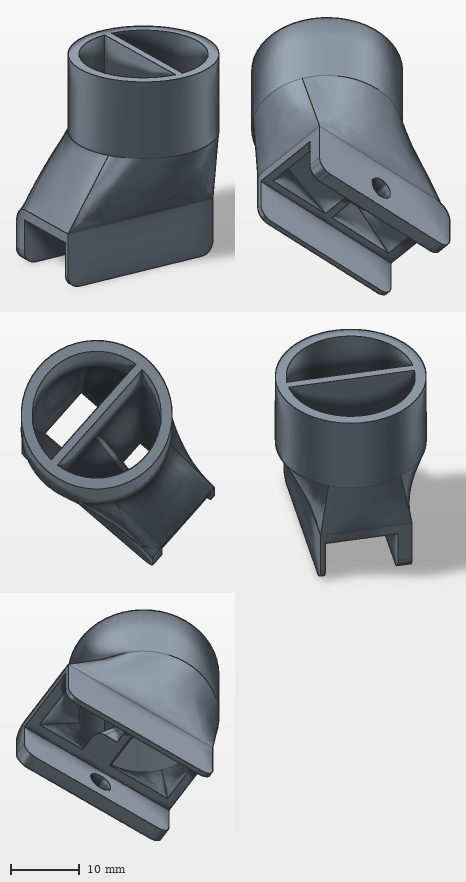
import cadquery as cq
import math

total_height = 31.0
collar_bottom = 18.97
base_top = 8.62
slot_ceiling = 7.0

outer_radius = 11.0
inner_radius = 9.4
septum_thickness = 1.2
septum_half = septum_thickness / 2

base_left = -7.4
base_right = 6.23
base_front = -17.3
base_back = 8.0
base_corner_radius = 2.0

slot_left = -5.3
slot_right = 5.52

pin_diameter = 3.5
pin_y = -3.97
pin_z = 3.78

port_left = -3.78
port_right = 4.28
rear_port_back = 6.73
front_port_back = -4.65
front_port_front = -15.7
rear_port_front = front_port_back + septum_thickness

shelf_right = 0.05
shelf_front = -8.12
shelf_corner_radius = 1.1

neck_front_left = 6.23
neck_front_right = 5.33
neck_back = 5.4
neck_blend_radius = 2.17
corner_search_size = 0.62


def closed_wire(edges):
    return cq.Wire.assembleEdges(edges)


def arc(radius, start, end, z):
    """Counterclockwise arc about the Z axis between two angles in radians."""
    points = []
    for angle in (start, (start + end) / 2, end):
        points.append(cq.Vector(radius * math.cos(angle), radius * math.sin(angle), z))
    return cq.Edge.makeThreePointArc(*points)


def rectangle_wire(left, right, front, back, z):
    """Counterclockwise rectangle starting at its front-right corner."""
    corners = [(right, front), (right, back), (left, back), (left, front)]
    return cq.Wire.makePolygon([cq.Vector(x, y, z) for x, y in corners], close=True)


def block(left, right, front, back, bottom, top):
    size = (right - left, back - front, top - bottom)
    return cq.Workplane("XY").box(*size, centered=False).translate((left, front, bottom))


def ruled_loft(lower, upper):
    return cq.Workplane(obj=cq.Solid.makeLoft([lower, upper], True))


def collar():
    return cq.Workplane("XY", origin=(0, 0, collar_bottom)).circle(outer_radius).extrude(
        total_height - collar_bottom
    )


def neck():
    """Transition from the rectangular base to the offset round collar."""
    front_right = -math.acos(neck_front_right / outer_radius)
    back_right = math.acos(neck_back / outer_radius)
    back_left = math.pi - back_right
    front_left = math.pi + math.acos(neck_front_left / outer_radius)
    angles = [front_right, back_right, back_left, front_left, front_right + 2 * math.pi]
    rim = closed_wire([arc(outer_radius, a, b, collar_bottom) for a, b in zip(angles, angles[1:])])
    foot = rectangle_wire(base_left, base_right, base_front, base_back, base_top)
    return ruled_loft(foot, rim)


def base():
    body = block(base_left, base_right, base_front, base_back, 0, base_top)
    body = body.faces("<Z").edges("|X").fillet(base_corner_radius)
    slot = block(slot_left, slot_right, base_front, base_back, 0, slot_ceiling)
    pin_hole = (
        cq.Workplane("YZ", origin=(base_left, pin_y, pin_z))
        .circle(pin_diameter / 2)
        .extrude(slot_left - base_left)
    )
    return body.cut(slot).cut(pin_hole)


def collar_channel(side):
    """Straight half-round bore; side is 1 for the rear and -1 for the front."""
    bore = cq.Workplane("XY", origin=(0, 0, collar_bottom)).circle(inner_radius).extrude(
        total_height - collar_bottom
    )
    edges = sorted((side * septum_half, side * inner_radius))
    return bore.intersect(
        block(-inner_radius, inner_radius, edges[0], edges[1], collar_bottom, total_height)
    )


septum_angle = math.asin(septum_half / inner_radius)
channel_corner_angle = math.radians(50)


def rear_channel():
    """Half-round bore narrowing to the rear port."""
    angles = [
        septum_angle,
        channel_corner_angle,
        math.pi - channel_corner_angle,
        math.pi - septum_angle,
    ]
    edges = [arc(inner_radius, a, b, collar_bottom) for a, b in zip(angles, angles[1:])]
    edges.append(cq.Edge.makeLine(edges[-1].endPoint(), edges[0].startPoint()))
    port = rectangle_wire(port_left, port_right, rear_port_front, rear_port_back, slot_ceiling)
    return ruled_loft(port, closed_wire(edges)).union(collar_channel(1))


def shelf():
    """Wedge hanging from the septum, with a rounded free corner."""
    wedge = (
        cq.Workplane("YZ", origin=(-inner_radius, 0, 0))
        .moveTo(-septum_half, collar_bottom)
        .lineTo(shelf_front, slot_ceiling)
        .lineTo(0, slot_ceiling)
        .lineTo(0, collar_bottom)
        .close()
        .extrude(inner_radius + shelf_right)
    )
    return wedge.faces(">X").edges("<Y").fillet(shelf_corner_radius)


def front_channel():
    """Half-round bore leaning forward to the front port, less the shelf."""
    angles = [
        math.pi + septum_angle,
        math.pi + channel_corner_angle,
        2 * math.pi - channel_corner_angle,
        2 * math.pi - septum_angle,
    ]
    edges = [arc(inner_radius, a, b, collar_bottom) for a, b in zip(angles, angles[1:])]
    edges.append(cq.Edge.makeLine(edges[-1].endPoint(), edges[0].startPoint()))
    port = rectangle_wire(port_left, port_right, front_port_front, front_port_back, slot_ceiling)
    funnel = ruled_loft(port, closed_wire(edges))
    return funnel.cut(shelf()).union(collar_channel(-1))


def blend_front_left_corner(body):
    """Round the sloping edge between the front and left sides of the neck."""
    rim_y = -math.sqrt(outer_radius**2 - neck_front_left**2)
    middle = (
        (base_left - neck_front_left) / 2,
        (base_front + rim_y) / 2,
        (base_top + collar_bottom) / 2,
    )
    near = [centre - corner_search_size for centre in middle]
    far = [centre + corner_search_size for centre in middle]
    corner_edge = body.edges(cq.selectors.BoxSelector(near, far))
    return corner_edge.fillet(neck_blend_radius)


result = blend_front_left_corner(collar().union(neck()).union(base()))
result = result.cut(rear_channel()).cut(front_channel())